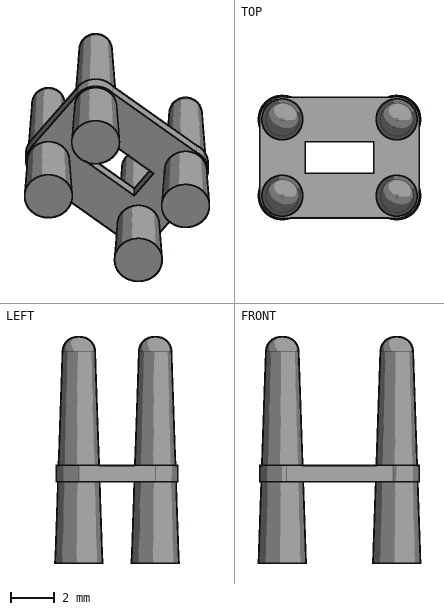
import cadquery as cq
import math

height = 10.4
peg_spacing_x = 5.25
peg_spacing_y = 3.5
peg_x = peg_spacing_x / 2
peg_y = peg_spacing_y / 2

base_radius = 1.097
draft_angle = 2.0
tip_fillet = 0.7
top_radius = base_radius - height * math.tan(math.radians(draft_angle))

corner_radius = 1.04
plate_length = peg_spacing_x + 2 * corner_radius
plate_width = 5.55
plate_thickness = 0.75
plate_bottom_z = 3.74

window_length = 3.14
window_width = 1.44


def make_peg():
    """Drafted cone whose rounded tip leaves a tiny flat on top."""
    cone = cq.Solid.makeCone(base_radius, top_radius, height)
    return cq.Workplane(cone).faces(">Z").edges().fillet(tip_fillet)


def make_plate():
    """Plate with arc corners and a central window."""
    x_edge = plate_length / 2
    y_edge = plate_width / 2
    arc_angle = math.pi - math.asin((y_edge - peg_y) / corner_radius)
    x_seam = peg_x + corner_radius * math.cos(arc_angle)
    x_mid = peg_x + corner_radius * math.cos(arc_angle / 2)
    y_mid = peg_y + corner_radius * math.sin(arc_angle / 2)
    outline = (
        cq.Workplane("XY", origin=(0, 0, plate_bottom_z))
        .moveTo(-x_seam, -y_edge)
        .lineTo(x_seam, -y_edge)
        .threePointArc((x_mid, -y_mid), (x_edge, -peg_y))
        .lineTo(x_edge, peg_y)
        .threePointArc((x_mid, y_mid), (x_seam, y_edge))
        .lineTo(-x_seam, y_edge)
        .threePointArc((-x_mid, y_mid), (-x_edge, peg_y))
        .lineTo(-x_edge, -peg_y)
        .threePointArc((-x_mid, -y_mid), (-x_seam, -y_edge))
        .close()
    )
    window = (
        cq.Workplane("XY", origin=(0, 0, plate_bottom_z))
        .rect(window_length, window_width)
        .extrude(plate_thickness)
    )
    return outline.extrude(plate_thickness).cut(window)


result = make_plate()
for side_x in (-1, 1):
    for side_y in (-1, 1):
        position = (side_x * peg_x, side_y * peg_y, 0)
        result = result.union(make_peg().translate(position))